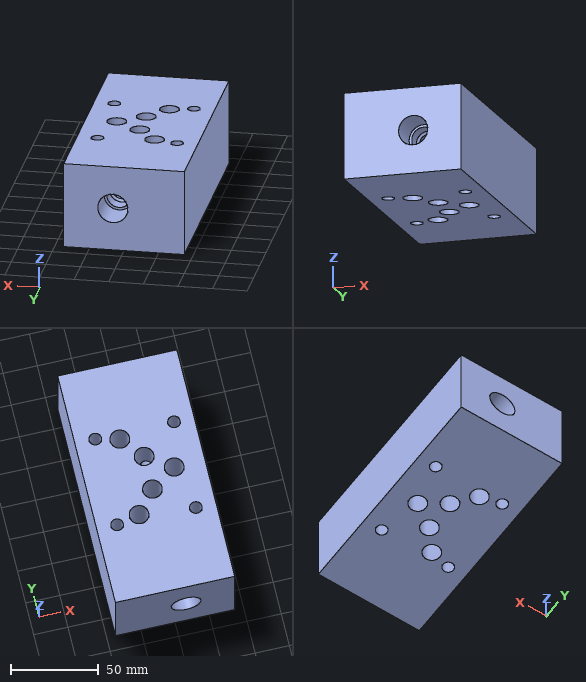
import cadquery as cq
import math

block_width = 69.9
block_length = 142.9
block_height = 50.9

pattern_center_y = 1.7
bolt_spacing_x = 46.0
bolt_spacing_y = 54.0
bolt_diameter = 7.1

passage_diameter = 11.1
pressure_offset = 6.3
service_offset = 21.5
tank_offset = 32.5
service_spacing = 20.6
tank_spacing = 47.6

port_x = 6.5
port_diameter = 17.3
port_depth = 20.0
relief_diameter = 14.3
relief_depth = 28.6
drill_tip_angle = 118.0
drill_stop_gap = 0.3

bolt_row_x = bolt_spacing_x / 2
service_x = bolt_row_x - service_offset


def through_holes(centers, diameter):
    """Vertical cylinders that cross the full block height."""
    return (
        cq.Workplane("XY", origin=(0, 0, -block_height / 2))
        .pushPoints(centers)
        .circle(diameter / 2)
        .extrude(block_height)
    )


def tip_length(radius_drop):
    """Axial length over which a drill tip narrows by radius_drop."""
    return radius_drop / math.tan(math.radians(drill_tip_angle / 2))


def end_port(side, passage_y):
    """Stepped port entering the end face on the given Y side (+1 or -1).

    The narrow drill stops just before the passage axis, with its tip beyond.
    """
    port_radius = port_diameter / 2
    relief_radius = relief_diameter / 2
    drill_radius = passage_diameter / 2
    drill_depth = block_length / 2 - side * passage_y - drill_stop_gap
    relief_tip = relief_depth + tip_length(relief_radius - drill_radius)
    drill_tip = drill_depth + tip_length(drill_radius)
    profile = [
        (0, 0),
        (port_radius, 0),
        (port_radius, port_depth),
        (relief_radius, port_depth),
        (relief_radius, relief_depth),
        (drill_radius, relief_tip),
        (drill_radius, drill_depth),
        (0, drill_tip),
    ]
    face_y = side * block_length / 2
    points = [(port_x + radius, face_y - side * depth) for radius, depth in profile]
    return (
        cq.Workplane("XY")
        .polyline(points)
        .close()
        .revolve(360, (port_x, 0), (port_x, 1))
    )


bolt_centers = [
    (x_side * bolt_row_x, pattern_center_y + y_side * bolt_spacing_y / 2)
    for x_side in (-1, 1)
    for y_side in (-1, 1)
]

passage_centers = [(bolt_row_x - pressure_offset, pattern_center_y)]
for y_side in (-1, 1):
    service_y = pattern_center_y + y_side * service_spacing / 2
    tank_y = pattern_center_y + y_side * tank_spacing / 2
    passage_centers.append((service_x, service_y))
    passage_centers.append((bolt_row_x - tank_offset, tank_y))

result = cq.Workplane("XY").box(block_width, block_length, block_height)
result = result.cut(through_holes(bolt_centers, bolt_diameter))
result = result.cut(through_holes(passage_centers, passage_diameter))

for side in (-1, 1):
    service_y = pattern_center_y + side * service_spacing / 2
    result = result.cut(end_port(side, service_y))